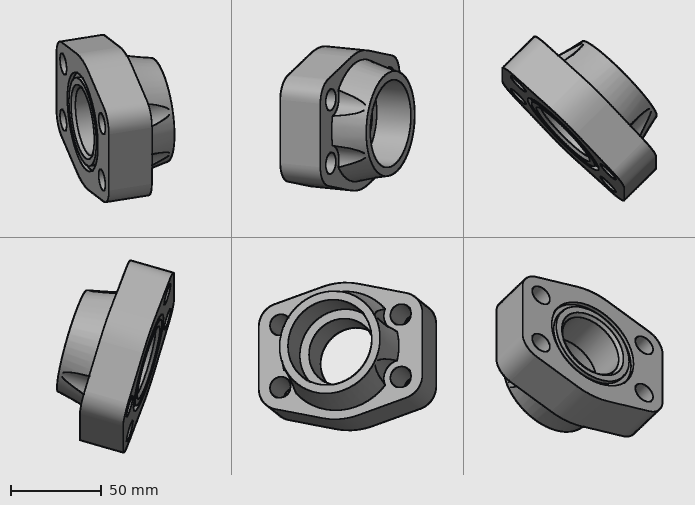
import cadquery as cq
import math

length = 95.0
height = 78.0
plate_thickness = 25.0
corner_radius = 12.5
bolt_x = length / 2 - corner_radius
bolt_z = 17.9
bolt_diameter = 12.0
crown_radius = height / 2

total_depth = 44.0
neck_base_radius = 33.9
neck_end_radius = 29.2
neck_flare_sag = 0.3
bolt_head_radius = 9.8

bore_radius = 19.0
bore_chamfer = 1.9
rear_bore_radius = 24.3
rear_bore_start = 22.8
groove_inner_radius = 24.7
groove_outer_radius = 27.7
groove_depth = 2.4

bolt_points = [(sx * bolt_x, sz * bolt_z) for sx in (-1, 1) for sz in (-1, 1)]


def front_plane(y):
    """Sketch plane at depth y: local axes are X and Z, extruding toward +Y for negative distances."""
    return cq.Workplane("XZ", origin=(0, y, 0))


def make_plate():
    """Hull of the crown circle and the four corner circles."""
    bolt_distance = math.hypot(bolt_x, bolt_z)
    tangent_angle = math.atan2(bolt_z, bolt_x) + math.acos((crown_radius - corner_radius) / bolt_distance)
    normal_x = math.cos(tangent_angle)
    normal_z = math.sin(tangent_angle)
    crown_x = crown_radius * normal_x
    crown_z = crown_radius * normal_z
    corner_x = bolt_x + corner_radius * normal_x
    corner_z = bolt_z + corner_radius * normal_z
    mid_angle = tangent_angle / 2
    mid_x = bolt_x + corner_radius * math.cos(mid_angle)
    mid_z = bolt_z + corner_radius * math.sin(mid_angle)
    side_x = length / 2
    outline = (
        front_plane(0)
        .moveTo(-crown_x, crown_z)
        .threePointArc((0, crown_radius), (crown_x, crown_z))
        .lineTo(corner_x, corner_z)
        .threePointArc((mid_x, mid_z), (side_x, bolt_z))
        .lineTo(side_x, -bolt_z)
        .threePointArc((mid_x, -mid_z), (corner_x, -corner_z))
        .lineTo(crown_x, -crown_z)
        .threePointArc((0, -crown_radius), (-crown_x, -crown_z))
        .lineTo(-corner_x, -corner_z)
        .threePointArc((-mid_x, -mid_z), (-side_x, -bolt_z))
        .lineTo(-side_x, bolt_z)
        .threePointArc((-mid_x, mid_z), (-corner_x, corner_z))
        .close()
    )
    return outline.extrude(-plate_thickness)


def make_neck():
    """Flared neck with clearance for the bolt heads."""
    mid_radius = (neck_base_radius + neck_end_radius) / 2 - neck_flare_sag
    mid_depth = (plate_thickness + total_depth) / 2
    neck = (
        cq.Workplane("XY")
        .moveTo(0, plate_thickness)
        .lineTo(neck_base_radius, plate_thickness)
        .threePointArc((mid_radius, mid_depth), (neck_end_radius, total_depth))
        .lineTo(0, total_depth)
        .close()
        .revolve(360, (0, 0, 0), (0, 1, 0))
    )
    clearance = (
        front_plane(plate_thickness)
        .pushPoints(bolt_points)
        .circle(bolt_head_radius)
        .extrude(plate_thickness - total_depth)
    )
    return neck.cut(clearance)


def make_bore():
    """Through bore with a chamfered mouth at the front face and a wider rear length."""
    return (
        cq.Workplane("XY")
        .lineTo(bore_radius + bore_chamfer, 0)
        .lineTo(bore_radius, bore_chamfer)
        .lineTo(bore_radius, rear_bore_start)
        .lineTo(rear_bore_radius, rear_bore_start)
        .lineTo(rear_bore_radius, total_depth)
        .lineTo(0, total_depth)
        .close()
        .revolve(360, (0, 0, 0), (0, 1, 0))
    )


def make_groove():
    """Ring-shaped seal groove in the front face."""
    return front_plane(0).circle(groove_outer_radius).circle(groove_inner_radius).extrude(-groove_depth)


def make_bolt_holes():
    return front_plane(0).pushPoints(bolt_points).circle(bolt_diameter / 2).extrude(-plate_thickness)


result = make_plate().union(make_neck())
result = result.cut(make_bore()).cut(make_groove()).cut(make_bolt_holes())